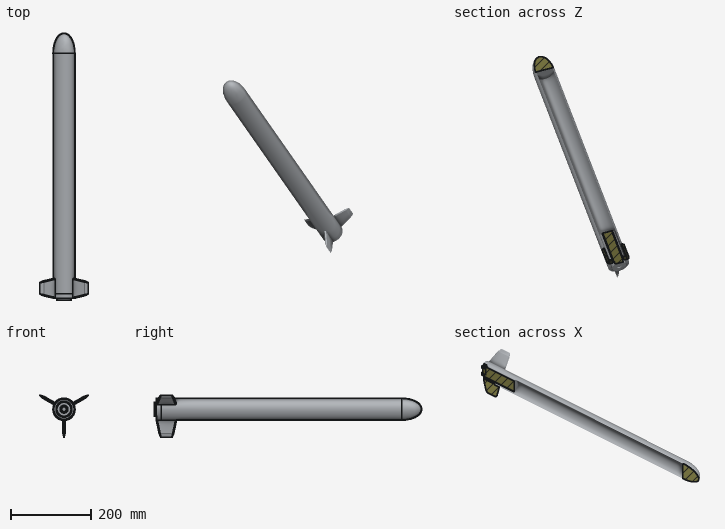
import cadquery as cq


TUBE_DIAMETER = 54.8
TUBE_BORE = 50.8
TUBE_LENGTH = 610.0
OVERALL_LENGTH = 664.6

CASE_DIAMETER = 35.3
CASE_LENGTH = 100.0
CASE_OVERHANG = 5.0
NOZZLE_OPENING = 12.5
END_WALL = 2.0
NOZZLE_DIAMETER = 19.0
NOZZLE_LENGTH = 10.0
MOUNT_WALL = 2.0
MOUNT_RECESS = 2.0
RING_LENGTH = 12.0

FIN_COUNT = 3
FIN_TIP_RADIUS = 70.22
FIN_ROOT_CHORD = 50.0
FIN_TIP_CHORD = 32.0
FIN_THICKNESS = 5.0
TIP_BEVEL = 10.0

TUBE_RADIUS = TUBE_DIAMETER / 2
NOSE_LENGTH = OVERALL_LENGTH - TUBE_LENGTH - CASE_OVERHANG
MOUNT_DIAMETER = CASE_DIAMETER + 2 * MOUNT_WALL
MOUNT_LENGTH = CASE_LENGTH - CASE_OVERHANG - MOUNT_RECESS
HALF_THICKNESS = FIN_THICKNESS / 2
EDGE_BEVEL = HALF_THICKNESS
FIN_SWEEP = (FIN_ROOT_CHORD - FIN_TIP_CHORD) / 2 / (FIN_TIP_RADIUS - TUBE_RADIUS)


def rod(diameter, start, length):
    """Solid cylinder about the Y axis, running from y = start towards +Y."""
    return cq.Workplane("XZ", origin=(0, start, 0)).circle(diameter / 2).extrude(-length)


def sleeve(outer_diameter, bore, start, length):
    """Straight tube about the Y axis, running from y = start towards +Y."""
    return rod(outer_diameter, start, length).cut(rod(bore, start, length))


def make_nose():
    """Half ellipsoid on the front end of the airframe tube."""
    return (
        cq.Workplane("YZ")
        .moveTo(TUBE_LENGTH, 0)
        .lineTo(TUBE_LENGTH + NOSE_LENGTH, 0)
        .ellipseArc(NOSE_LENGTH, TUBE_RADIUS, 0, 90, startAtCurrent=True)
        .close()
        .revolve(360, (0, 0, 0), (1, 0, 0))
    )


def make_case():
    """Motor case whose end wall narrows to the nozzle opening, with the nozzle pocket behind it."""
    case = rod(CASE_DIAMETER, -CASE_OVERHANG, CASE_LENGTH)
    case = case.cut(rod(NOZZLE_OPENING, -CASE_OVERHANG, END_WALL))
    return case.cut(make_nozzle())


def make_nozzle():
    """Nozzle plug seated behind the end wall of the motor case."""
    return rod(NOZZLE_DIAMETER, END_WALL - CASE_OVERHANG, NOZZLE_LENGTH)


def trailing_point(radius, inset, side):
    """Point near the trailing edge: side 0 is the mid-plane, +1 and -1 are the fin faces."""
    return (side * HALF_THICKNESS, FIN_SWEEP * (radius - TUBE_RADIUS) + inset, -radius)


def leading_point(radius, inset, side):
    """Mirror image of the trailing point about the middle of the chord."""
    x, y, z = trailing_point(radius, inset, side)
    return (x, FIN_ROOT_CHORD - y, z)


def flat_face(*corners):
    return cq.Face.makeFromWires(cq.Wire.makePolygon(corners, close=True))


def make_fin():
    """Downward fin whose leading, tip and trailing edges are bevelled to a knife edge."""
    bevel_radius = FIN_TIP_RADIUS - TIP_BEVEL
    root_section = flat_face(
        trailing_point(0, 0, 0),
        trailing_point(0, EDGE_BEVEL, 1),
        leading_point(0, EDGE_BEVEL, 1),
        leading_point(0, 0, 0),
        leading_point(0, EDGE_BEVEL, -1),
        trailing_point(0, EDGE_BEVEL, -1),
    )
    faces = [root_section]
    for side in (1, -1):
        outlines = []
        for edge_point in (trailing_point, leading_point):
            knife_root = edge_point(0, 0, 0)
            knife_bend = edge_point(bevel_radius, 0, 0)
            knife_tip = edge_point(FIN_TIP_RADIUS, EDGE_BEVEL, 0)
            face_root = edge_point(0, EDGE_BEVEL, side)
            face_corner = edge_point(bevel_radius, EDGE_BEVEL, side)
            faces.append(flat_face(knife_root, face_root, face_corner, knife_bend))
            faces.append(flat_face(knife_bend, face_corner, knife_tip))
            outlines.append((face_root, face_corner, knife_tip))
        (root_a, corner_a, tip_a), (root_b, corner_b, tip_b) = outlines
        faces.append(flat_face(root_a, corner_a, corner_b, root_b))
        faces.append(flat_face(corner_a, tip_a, tip_b, corner_b))
    blade = cq.Workplane(cq.Solid.makeSolid(cq.Shell.makeShell(faces)))

    return blade.cut(rod(TUBE_DIAMETER, -FIN_ROOT_CHORD, 3 * FIN_ROOT_CHORD))


nose = make_nose()
tube = sleeve(TUBE_DIAMETER, TUBE_BORE, 0, TUBE_LENGTH)
ring = sleeve(TUBE_BORE, MOUNT_DIAMETER, 0, RING_LENGTH)
mount = sleeve(MOUNT_DIAMETER, CASE_DIAMETER, MOUNT_RECESS, MOUNT_LENGTH)
case = make_case()
nozzle = make_nozzle()
fin = make_fin()
fins = [fin.rotate((0, 0, 0), (0, 1, 0), i * 360 / FIN_COUNT) for i in range(FIN_COUNT)]

result = cq.Compound.makeCompound(
    [body.val() for body in [nose, tube, ring, mount, case, nozzle, *fins]]
)